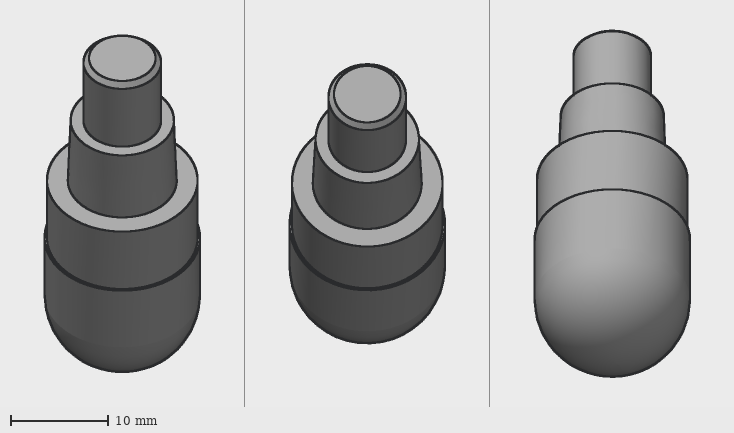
import cadquery as cq
import math

total_height = 41.25
cap_diameter = 16.0
collar_diameter = 15.5
collar_height = 8.1
taper_base_diameter = 11.2
taper_top_diameter = 10.65
taper_height = 8.45
stud_diameter = 8.0
stud_chamfer = 0.58

cap_radius = cap_diameter / 2
dome_height = cap_radius
cap_top = 2 * dome_height
collar_top = cap_top + collar_height
taper_top = collar_top + taper_height
stud_radius = stud_diameter / 2


def make_cap():
    """Cylinder closed at the bottom by a hemispherical dome."""
    diagonal = cap_radius * math.sqrt(0.5)
    return (
        cq.Workplane("XZ")
        .moveTo(0, 0)
        .threePointArc((diagonal, dome_height - diagonal), (cap_radius, dome_height))
        .lineTo(cap_radius, cap_top)
        .lineTo(0, cap_top)
        .close()
        .revolve(360, (0, 0), (0, 1))
    )


def make_stem():
    """Collar, tapered neck and chamfered stud, turned as one piece."""
    return (
        cq.Workplane("XZ")
        .moveTo(0, cap_top)
        .lineTo(collar_diameter / 2, cap_top)
        .lineTo(collar_diameter / 2, collar_top)
        .lineTo(taper_base_diameter / 2, collar_top)
        .lineTo(taper_top_diameter / 2, taper_top)
        .lineTo(stud_radius, taper_top)
        .lineTo(stud_radius, total_height - stud_chamfer)
        .lineTo(stud_radius - stud_chamfer, total_height)
        .lineTo(0, total_height)
        .close()
        .revolve(360, (0, 0), (0, 1))
    )


cap = make_cap()
stem = make_stem()
result = cq.Compound.makeCompound([cap.val(), stem.val()])